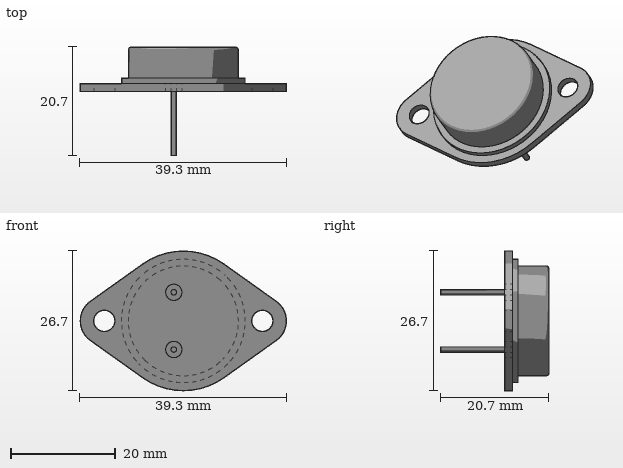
import cadquery as cq
import math


flange_length = 39.34
flange_height = 26.67
flange_thickness = 1.55
mounting_hole_spacing = 30.15
mounting_hole_diameter = 4.0

package_height = 8.5
rim_diameter = 23.6
rim_thickness = 1.05
can_diameter = 21.0
can_edge_radius = 0.6

lead_spacing = 10.92
lead_offset_x = -1.82
lead_diameter = 1.05
lead_projection = 12.2
seal_diameter = 3.1

hole_x = mounting_hole_spacing / 2
middle_radius = flange_height / 2
end_radius = flange_length / 2 - hole_x

can_base_y = flange_thickness + rim_thickness
can_height = package_height - can_base_y
lead_positions = [(lead_offset_x, side * lead_spacing / 2) for side in (-1, 1)]


def disc_along_y(diameter, start_y, length, x=0, z=0):
    """Cylinder running from start_y towards +Y."""
    return cq.Workplane(cq.Solid.makeCylinder(
        diameter / 2, length, cq.Vector(x, start_y, z), cq.Vector(0, 1, 0)))


def make_flange():
    """Diamond plate whose straight sides are tangent to the middle and end arcs."""
    tangent_sin = (middle_radius - end_radius) / hole_x
    tangent_cos = math.sqrt(1 - tangent_sin ** 2)
    middle_x = middle_radius * tangent_sin
    middle_z = middle_radius * tangent_cos
    end_x = hole_x + end_radius * tangent_sin
    end_z = end_radius * tangent_cos
    tip_x = flange_length / 2

    return (
        cq.Workplane("XZ")
        .moveTo(-middle_x, middle_z)
        .threePointArc((0, middle_radius), (middle_x, middle_z))
        .lineTo(end_x, end_z)
        .threePointArc((tip_x, 0), (end_x, -end_z))
        .lineTo(middle_x, -middle_z)
        .threePointArc((0, -middle_radius), (-middle_x, -middle_z))
        .lineTo(-end_x, -end_z)
        .threePointArc((-tip_x, 0), (-end_x, end_z))
        .close()
        .extrude(-flange_thickness)
    )


def make_housing():
    """Flange, rim and can in one solid, with mounting holes and seal pockets."""
    rim = disc_along_y(rim_diameter, flange_thickness, rim_thickness)
    can = disc_along_y(can_diameter, can_base_y, can_height).faces(">Y").edges().fillet(can_edge_radius)
    housing = make_flange().union(rim).union(can)
    for x in (-hole_x, hole_x):
        housing = housing.cut(disc_along_y(mounting_hole_diameter, 0, flange_thickness, x))
    for x, z in lead_positions:
        housing = housing.cut(disc_along_y(seal_diameter, 0, flange_thickness, x, z))
    return housing


def make_seal(x, z):
    """Insulating ring filling a flange pocket, flush with the lead side."""
    seal = disc_along_y(seal_diameter, 0, flange_thickness, x, z)
    return seal.cut(disc_along_y(lead_diameter, 0, flange_thickness, x, z))


def make_lead(x, z):
    """Round lead that runs through its seal and projects towards -Y."""
    return disc_along_y(lead_diameter, -lead_projection, lead_projection + flange_thickness, x, z)


housing = make_housing()
seals = [make_seal(x, z) for x, z in lead_positions]
leads = [make_lead(x, z) for x, z in lead_positions]

result = cq.Compound.makeCompound([
    housing.solids().val(),
    *[seal.solids().val() for seal in seals],
    *[lead.val() for lead in leads],
])